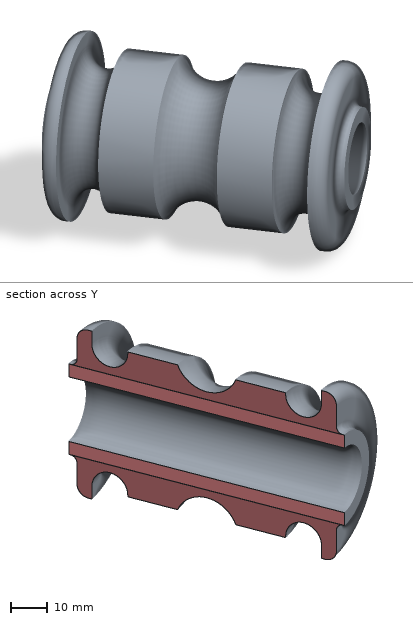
import cadquery as cq
import math

length = 86.8
bore_radius = 10.2
sleeve_radius = 14.4

flange_radius = 26.7
band_radius = 23.0
groove_floor_radius = 16.85

sleeve_end_exposed = 0.6
hub_fillet = 1.9
flange_rounding = 3.65
flange_rim_width = 1.2
end_groove_radius = 5.6
middle_groove_width = 18.2

half_length = length / 2
body_end = half_length - sleeve_end_exposed
flange_face = body_end - hub_fillet
rim_start = flange_face - flange_rounding
flange_back = rim_start - flange_rim_width
end_groove_center = flange_back - end_groove_radius
band_outer_end = end_groove_center - end_groove_radius
band_inner_end = middle_groove_width / 2

groove_tangent_radius = groove_floor_radius + end_groove_radius
arc_middle = math.sqrt(0.5)


def make_sleeve():
    """Plain tube running the full length."""
    return (
        cq.Workplane("YZ", origin=(-half_length, 0, 0))
        .circle(sleeve_radius)
        .circle(bore_radius)
        .extrude(length)
    )


def trace_end(profile, side):
    """Trace one end outward from band to sleeve; side is +1 or -1 along X."""
    hub_arc_radius = sleeve_radius + hub_fillet * (1 - arc_middle)
    rounding_center = flange_radius - flange_rounding
    return (
        profile
        .lineTo(side * band_outer_end, band_radius)
        .lineTo(side * band_outer_end, groove_tangent_radius)
        .threePointArc(
            (side * end_groove_center, groove_floor_radius),
            (side * flange_back, groove_tangent_radius),
        )
        .lineTo(side * flange_back, flange_radius)
        .lineTo(side * rim_start, flange_radius)
        .threePointArc(
            (side * (rim_start + flange_rounding * arc_middle),
             rounding_center + flange_rounding * arc_middle),
            (side * flange_face, rounding_center),
        )
        .lineTo(side * flange_face, sleeve_radius + hub_fillet)
        .threePointArc(
            (side * (body_end - hub_fillet * arc_middle), hub_arc_radius),
            (side * body_end, sleeve_radius),
        )
        .lineTo(0, sleeve_radius)
    )


def make_half_body(side):
    """Revolve one half of the body, from the middle plane outward, without the middle groove."""
    profile = cq.Workplane("XY").moveTo(0, sleeve_radius).lineTo(0, band_radius)
    return trace_end(profile, side).close().revolve(360, (0, 0, 0), (1, 0, 0))


def make_middle_groove_ring():
    """Torus whose arc passes through the floor and both edges of the middle groove."""
    depth = band_radius - groove_floor_radius
    arc_radius = (band_inner_end**2 + depth**2) / (2 * depth)
    ring_radius = groove_floor_radius + arc_radius
    return (
        cq.Workplane("XY")
        .moveTo(0, ring_radius)
        .circle(arc_radius)
        .revolve(360, (0, 0, 0), (1, 0, 0))
    )


def make_grooved_body():
    """Join the two mirrored halves into one solid and cut the middle groove."""
    blank = make_half_body(-1).union(make_half_body(1), clean=True)
    return blank.cut(make_middle_groove_ring())


sleeve = make_sleeve()
grooved_body = make_grooved_body()

result = cq.Compound.makeCompound([sleeve.val(), grooved_body.solids().val()])